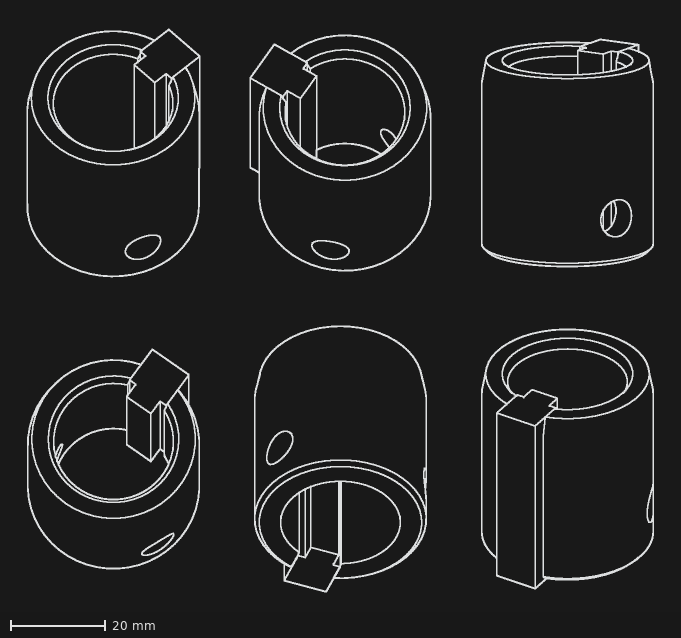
import cadquery as cq
import math

key_length = 41.3
sleeve_recess = 0.3
sleeve_radius = 18.25
bore_radius = 12.7
bottom_chamfer = 1.0
taper_height = 5.0
taper_angle = 10.0
lead_in_depth = 2.0
lead_in_angle = 30.0

hole_diameter = 8.0
hole_height = 10.28
hole_angle = 22.5

key_width = 9.58
tongue_width = 6.35
key_outer_y = 20.8
key_step_y = 12.5
tongue_inner_y = 9.15

sleeve_bottom = sleeve_recess
sleeve_top = key_length
taper_start = sleeve_top - taper_height
taper_top_radius = sleeve_radius - taper_height * math.tan(math.radians(taper_angle))
lead_in_radius = bore_radius + lead_in_depth * math.tan(math.radians(lead_in_angle))


def make_sleeve_blank():
    """Revolve the sleeve wall, with its taper, chamfer and bore lead-in."""
    return (
        cq.Workplane("XZ")
        .moveTo(bore_radius, sleeve_bottom)
        .lineTo(sleeve_radius - bottom_chamfer, sleeve_bottom)
        .lineTo(sleeve_radius, sleeve_bottom + bottom_chamfer)
        .lineTo(sleeve_radius, taper_start)
        .lineTo(taper_top_radius, sleeve_top)
        .lineTo(lead_in_radius, sleeve_top)
        .lineTo(bore_radius, sleeve_top - lead_in_depth)
        .close()
        .revolve(360, (0, 0, 0), (0, 1, 0))
    )


def make_keyway_cutter():
    """Slot through the full wall on the +Y side, as wide as the key."""
    slot = cq.Workplane("XY").rect(key_width, key_outer_y).extrude(key_length)
    return slot.translate((0, key_outer_y / 2, 0))


def make_hole_cutter(side):
    """Radial cylinder from the axis outward; side is +1 for +X, -1 for -X."""
    angle = math.radians(hole_angle)
    direction = cq.Vector(side * math.cos(angle), -math.sin(angle), 0)
    start = cq.Vector(0, 0, hole_height)
    return cq.Solid.makeCylinder(hole_diameter / 2, key_outer_y, start, direction)


def make_sleeve():
    sleeve = make_sleeve_blank().cut(make_keyway_cutter())
    for side in (-1, 1):
        sleeve = sleeve.cut(cq.Workplane(make_hole_cutter(side)))
    return sleeve


def make_key():
    """Extrude the T-shaped key section along Z."""
    return (
        cq.Workplane("XY")
        .moveTo(-key_width / 2, key_outer_y)
        .lineTo(key_width / 2, key_outer_y)
        .lineTo(key_width / 2, key_step_y)
        .lineTo(tongue_width / 2, key_step_y)
        .lineTo(tongue_width / 2, tongue_inner_y)
        .lineTo(-tongue_width / 2, tongue_inner_y)
        .lineTo(-tongue_width / 2, key_step_y)
        .lineTo(-key_width / 2, key_step_y)
        .close()
        .extrude(key_length)
    )


sleeve = make_sleeve()
key = make_key()

result = cq.Compound.makeCompound([sleeve.solids().val(), key.val()])